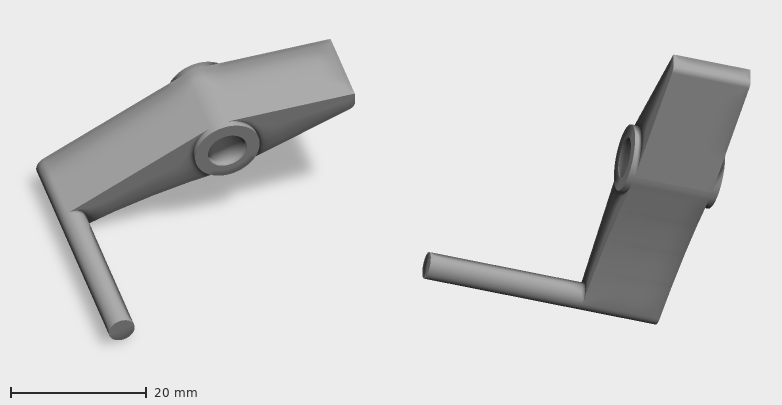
import cadquery as cq
import math

HUB_RADIUS = 5.0
HUB_WIDTH = 14.0
BORE_RADIUS = 3.0

LEVER_WIDTH = 12.0

ARM_LENGTH = 25.0
ARM_ANGLE = math.radians(20.0)
TIP_RADIUS = 2.0
UNDERSIDE_RADIUS = 100.0

TAIL_LENGTH = 20.0
TAIL_CORNER_RADIUS = 1.0
TAIL_CORNER_DROP = 2.0

ROD_LENGTH = 30.0

TIP_CENTER = (-ARM_LENGTH * math.cos(ARM_ANGLE), -ARM_LENGTH * math.sin(ARM_ANGLE))


def polar(center, radius, angle):
    """Point at the given radius and angle around a centre in the YZ plane."""
    return (center[0] + radius * math.cos(angle), center[1] + radius * math.sin(angle))


def cylinder(center, radius, x_start, length):
    """Cylinder along +X, with its axis through a point of the YZ plane."""
    plane = cq.Workplane("YZ", origin=(x_start, 0, 0))
    return plane.center(*center).circle(radius).extrude(length)


def make_front_arm():
    hub_center = (0.0, 0.0)
    tip_direction = math.pi + ARM_ANGLE

    top_normal = tip_direction - math.acos((HUB_RADIUS - TIP_RADIUS) / ARM_LENGTH)

    to_hub = UNDERSIDE_RADIUS + HUB_RADIUS
    to_tip = UNDERSIDE_RADIUS + TIP_RADIUS
    hub_corner = math.acos((to_hub**2 + ARM_LENGTH**2 - to_tip**2) / (2 * to_hub * ARM_LENGTH))
    hub_touch_angle = tip_direction + hub_corner
    arc_center = polar(hub_center, to_hub, hub_touch_angle)
    arc_start_angle = hub_touch_angle - math.pi
    arc_end_angle = math.atan2(TIP_CENTER[1] - arc_center[1], TIP_CENTER[0] - arc_center[0])
    arc_middle_angle = (arc_start_angle + arc_end_angle) / 2

    return (
        cq.Workplane("YZ")
        .moveTo(*hub_center)
        .lineTo(*polar(hub_center, HUB_RADIUS, top_normal))
        .lineTo(*polar(TIP_CENTER, TIP_RADIUS, top_normal))
        .threePointArc(
            polar(TIP_CENTER, TIP_RADIUS, tip_direction),
            polar(arc_center, UNDERSIDE_RADIUS, arc_end_angle),
        )
        .threePointArc(
            polar(arc_center, UNDERSIDE_RADIUS, arc_middle_angle),
            polar(arc_center, UNDERSIDE_RADIUS, arc_start_angle),
        )
        .close()
        .extrude(LEVER_WIDTH / 2, both=True)
    )


def make_tail():
    corner_center = (TAIL_LENGTH - TAIL_CORNER_RADIUS, HUB_RADIUS - TAIL_CORNER_DROP)
    center_distance = math.hypot(*corner_center)
    center_angle = math.atan2(corner_center[1], corner_center[0])
    bottom_normal = center_angle - math.acos((HUB_RADIUS - TAIL_CORNER_RADIUS) / center_distance)

    return (
        cq.Workplane("YZ")
        .moveTo(0, 0)
        .lineTo(*polar((0, 0), HUB_RADIUS, bottom_normal))
        .lineTo(*polar(corner_center, TAIL_CORNER_RADIUS, bottom_normal))
        .threePointArc(
            polar(corner_center, TAIL_CORNER_RADIUS, bottom_normal / 2),
            polar(corner_center, TAIL_CORNER_RADIUS, 0),
        )
        .lineTo(TAIL_LENGTH, HUB_RADIUS)
        .lineTo(0, HUB_RADIUS)
        .close()
        .extrude(LEVER_WIDTH / 2, both=True)
    )


hub = cylinder((0, 0), HUB_RADIUS, -HUB_WIDTH / 2, HUB_WIDTH)
bore = cylinder((0, 0), BORE_RADIUS, -HUB_WIDTH / 2, HUB_WIDTH)
rod = cylinder(TIP_CENTER, TIP_RADIUS, 0, ROD_LENGTH)

result = hub.union(make_front_arm()).union(make_tail()).union(rod).cut(bore)